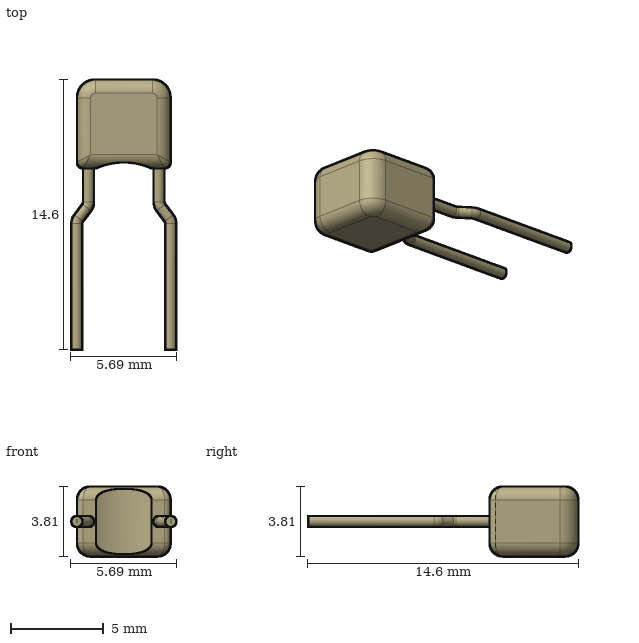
import cadquery as cq
import math

case_width = 5.08
case_depth = 4.82
case_height = 3.81
back_corner_radius = 1.0
front_corner_radius = 0.33
rim_radius = 0.75

hollow_width = 3.0
hollow_depth = 0.32

lead_diameter = 0.61
lead_reach = 9.80
exit_spacing = 3.81
tip_spacing = 5.08
first_bend_y = -1.81
bend_radius = 0.5
bend_angle = math.radians(37)


def make_case():
    block = cq.Workplane("XY").box(case_width, case_depth, case_height)
    block = block.translate((0, case_depth / 2, 0))
    block = block.edges("|Z and >Y").fillet(back_corner_radius)
    block = block.faces("<Z or >Z").edges().fillet(rim_radius)
    block = block.edges("|Z and <Y").fillet(front_corner_radius)
    return block.cut(make_hollow())


def make_hollow():
    """Upright cylinder whose side dips into the front face."""
    radius = (hollow_width**2 / 4 + hollow_depth**2) / (2 * hollow_depth)
    cylinder = cq.Workplane("XY").center(0, hollow_depth - radius).circle(radius)
    return cylinder.extrude(case_height / 2, both=True)


def make_lead(side):
    """Lead on one side of the case: side is -1 for -X, +1 for +X."""
    jog = (tip_spacing - exit_spacing) / 2
    sine = math.sin(bend_angle)
    cosine = math.cos(bend_angle)
    bend_out = bend_radius * (1 - cosine)
    bend_along = bend_radius * sine
    half_out = bend_radius * (1 - math.cos(bend_angle / 2))
    half_along = bend_radius * math.sin(bend_angle / 2)
    slope_along = (jog - 2 * bend_out) * cosine / sine

    exit_x = exit_spacing / 2
    tip_x = tip_spacing / 2
    slope_end_y = first_bend_y - bend_along - slope_along
    second_bend_end_y = slope_end_y - bend_along

    path = (
        cq.Workplane("XY")
        .moveTo(side * exit_x, 0)
        .lineTo(side * exit_x, first_bend_y)
        .threePointArc(
            (side * (exit_x + half_out), first_bend_y - half_along),
            (side * (exit_x + bend_out), first_bend_y - bend_along),
        )
        .lineTo(side * (tip_x - bend_out), slope_end_y)
        .threePointArc(
            (side * (tip_x - half_out), second_bend_end_y + half_along),
            (side * tip_x, second_bend_end_y),
        )
        .lineTo(side * tip_x, -lead_reach)
    )
    start = cq.Workplane("XZ", origin=(side * exit_x, 0, 0))
    return start.circle(lead_diameter / 2).sweep(path)


case = make_case()
leads = [make_lead(side) for side in (-1, 1)]

result = cq.Compound.makeCompound([case.val(), *[lead.val() for lead in leads]])